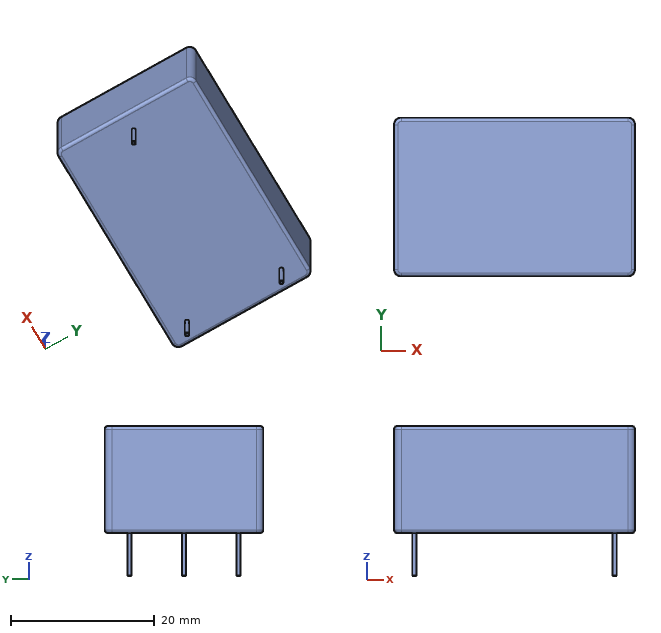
import cadquery as cq

LENGTH = 33.7
WIDTH = 22.2
HOUSING_HEIGHT = 15.0
CORNER_RADIUS = 1.0
RIM_RADIUS = 0.5

PIN_DIAMETER = 0.6
PIN_LENGTH = 6.0
PIN_TIP_CHAMFER = 0.1
ROW_SPACING = 27.97
PIN_OFFSET = 7.6
PIN_POSITIONS = [
    (-ROW_SPACING / 2, -PIN_OFFSET),
    (-ROW_SPACING / 2, PIN_OFFSET),
    (ROW_SPACING / 2, 0),
]


def make_housing():
    """Closed block standing on Z = 0, with rounded corners and rims."""
    block = cq.Workplane("XY").box(LENGTH, WIDTH, HOUSING_HEIGHT, centered=(True, True, False))
    rounded = block.edges("|Z").fillet(CORNER_RADIUS)
    return rounded.faces("<Z or >Z").edges().fillet(RIM_RADIUS)


def make_pin(x, y):
    """Round pin hanging from the housing's underside, with a chamfered tip."""
    pin = cq.Workplane("XY").center(x, y).circle(PIN_DIAMETER / 2).extrude(-PIN_LENGTH)
    return pin.faces("<Z").edges().chamfer(PIN_TIP_CHAMFER)


housing = make_housing()
pins = [make_pin(x, y) for x, y in PIN_POSITIONS]

result = cq.Compound.makeCompound([housing.val(), *[pin.val() for pin in pins]])